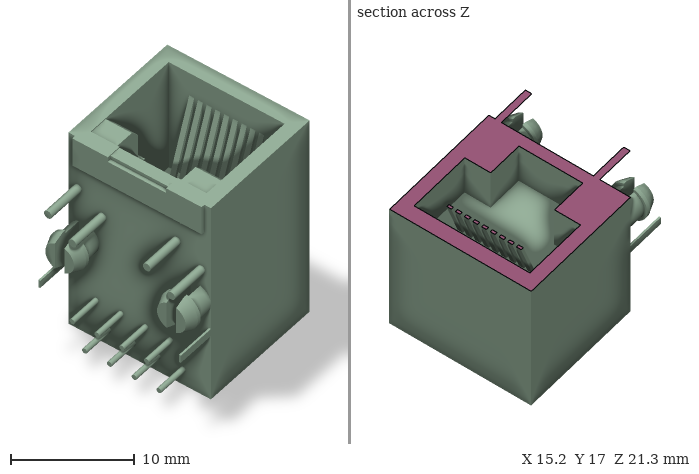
import cadquery as cq


HOUSING_WIDTH = 14.57
HOUSING_DEPTH = 13.05
HOUSING_HEIGHT = 21.3

CAVITY_WIDTH = 11.85
CAVITY_DEPTH = 11.72
FRONT_WALL = 1.2
BACK_WALL = 1.55
CAVITY_BACK = HOUSING_DEPTH - BACK_WALL
CAVITY_FLOOR = HOUSING_HEIGHT - CAVITY_DEPTH

FLANGE_WIDTH = 13.23
FLANGE_HEIGHT = 3.02
FLANGE_THICKNESS = 0.36

NOTCH_WIDTH = 5.96
WALL_NOTCH_DEPTH = 0.1
FLANGE_NOTCH_DEPTH = 0.51

SHOULDER_WIDTH = 2.66
SHOULDER_RECESS = 0.1
SHOULDER_LAND = 1.98
SHOULDER_RAMP = 0.79
SHOULDER_LEDGE = 0.94
LEDGE_DEPTH = 4.25

CONTACT_COUNT = 9
CONTACT_PITCH = 0.9
CONTACT_WIDTH = 0.51
CONTACT_TOP_DEPTH = 2.5
CONTACT_REACH = 3.37
CONTACT_THICKNESS = 0.32

PEG_X = 5.7
PEG_Z = 10.56
PEG_SHAFT_RADIUS = 1.58
PEG_OUTER_SPAN = 15.23
PEG_COLLAR_RADIUS = PEG_OUTER_SPAN / 2 - PEG_X
PEG_TIP_RADIUS = 1.47
PEG_COLLAR_START = 1.79
PEG_COLLAR_END = 2.15
PEG_LENGTH = 3.2
PEG_SLOT = 0.98

SIGNAL_COUNT = 8
SIGNAL_PITCH = 1.267
SIGNAL_DIAMETER = 0.51
SIGNAL_LENGTH = PEG_LENGTH
SIGNAL_ROWS_Z = (4.25, 1.73)

LAMP_DIAMETER = 0.79
LAMP_LENGTH = 3.98
LAMP_OUTER_X = 6.3
LAMP_INNER_X = 3.8
LAMP_UPPER_Z = 15.68
LAMP_LOWER_Z = 13.95

TAB_THICKNESS = 0.2
TAB_HEIGHT = 0.79
TAB_LENGTH = LAMP_LENGTH
TAB_Z = 7.45

OVERLAP = 0.21


def block(width, y_range, z_range, x=0.0):
    """Box centred on x that spans the given y and z ranges."""
    y_start, y_end = y_range
    z_start, z_end = z_range
    return (
        cq.Workplane("XY")
        .box(width, y_end - y_start, z_end - z_start, centered=(True, False, False))
        .translate((x, y_start, z_start))
    )


def side_profile(points, width, x):
    """Prism of the given (y, z) outline, centred on x."""
    return cq.Workplane("YZ").polyline(points).close().extrude(width / 2, both=True).translate((x, 0, 0))


def housing():
    top = HOUSING_HEIGHT
    body = block(HOUSING_WIDTH, (0, HOUSING_DEPTH), (0, top))
    flange = block(FLANGE_WIDTH, (-FLANGE_THICKNESS, OVERLAP), (top - FLANGE_HEIGHT, top))
    cavity = block(CAVITY_WIDTH, (FRONT_WALL, CAVITY_BACK), (CAVITY_FLOOR, top))
    wall_notch = block(NOTCH_WIDTH, (0, FRONT_WALL), (top - WALL_NOTCH_DEPTH, top))
    flange_notch = block(NOTCH_WIDTH, (-FLANGE_THICKNESS, 0), (top - FLANGE_NOTCH_DEPTH, top))
    return body.union(flange).cut(cavity).cut(wall_notch).cut(flange_notch)


def shoulder(side):
    """Cavity corner block: a land, a 45 degree ramp behind it and a lower ledge."""
    land_z = HOUSING_HEIGHT - SHOULDER_RECESS
    ramp_start = FRONT_WALL + SHOULDER_LAND
    ramp_end = ramp_start + SHOULDER_RAMP
    ledge_end = ramp_end + SHOULDER_LEDGE
    ledge_z = HOUSING_HEIGHT - LEDGE_DEPTH
    outline = [
        (FRONT_WALL, CAVITY_FLOOR),
        (FRONT_WALL, land_z),
        (ramp_start, land_z),
        (ramp_end, land_z - SHOULDER_RAMP),
        (ramp_end, ledge_z),
        (ledge_end, ledge_z),
        (ledge_end, CAVITY_FLOOR),
    ]
    return side_profile(outline, SHOULDER_WIDTH, side * (CAVITY_WIDTH - SHOULDER_WIDTH) / 2)


def contact(x):
    """Thin strip leaning from the back wall down to the cavity floor."""
    contact_top = HOUSING_HEIGHT - CONTACT_TOP_DEPTH
    foot = CAVITY_BACK - CONTACT_REACH
    slope = (contact_top - CAVITY_FLOOR) / CONTACT_REACH
    outline = [
        (CAVITY_BACK, contact_top),
        (foot, CAVITY_FLOOR),
        (foot + CONTACT_THICKNESS, CAVITY_FLOOR),
        (CAVITY_BACK, contact_top - slope * CONTACT_THICKNESS),
    ]
    return side_profile(outline, CONTACT_WIDTH, x)


def peg(x):
    """Round peg with a snap collar and a tapered tip, split by a slot along z."""
    outline = [
        (0, OVERLAP),
        (PEG_SHAFT_RADIUS, OVERLAP),
        (PEG_SHAFT_RADIUS, -PEG_COLLAR_START),
        (PEG_COLLAR_RADIUS, -PEG_COLLAR_START),
        (PEG_COLLAR_RADIUS, -PEG_COLLAR_END),
        (PEG_TIP_RADIUS, -PEG_LENGTH),
        (0, -PEG_LENGTH),
    ]
    turned = cq.Workplane("XY").polyline(outline).close().revolve(360, (0, 0, 0), (0, 1, 0))
    slot = block(PEG_SLOT, (-PEG_LENGTH, 0), (-PEG_COLLAR_RADIUS, PEG_COLLAR_RADIUS))
    return turned.cut(slot).translate((x, 0, PEG_Z))


def pin(x, z, diameter, length):
    """Round pin along -y."""
    return (
        cq.Workplane("XZ", origin=(x, OVERLAP, z))
        .circle(diameter / 2)
        .extrude(length + OVERLAP)
    )


def ground_tab(side):
    x = side * (HOUSING_WIDTH - TAB_THICKNESS) / 2
    return block(TAB_THICKNESS, (-TAB_LENGTH, OVERLAP), (TAB_Z - TAB_HEIGHT / 2, TAB_Z + TAB_HEIGHT / 2), x)


result = housing()

for index in range(CONTACT_COUNT):
    result = result.union(contact((index - (CONTACT_COUNT - 1) / 2) * CONTACT_PITCH))

for side in (-1, 1):
    result = result.union(shoulder(side))
    result = result.union(peg(side * PEG_X))
    result = result.union(ground_tab(side))

for index in range(SIGNAL_COUNT):
    pin_x = (index - (SIGNAL_COUNT - 1) / 2) * SIGNAL_PITCH
    pin_z = SIGNAL_ROWS_Z[index % len(SIGNAL_ROWS_Z)]
    result = result.union(pin(pin_x, pin_z, SIGNAL_DIAMETER, SIGNAL_LENGTH))

for pin_x, pin_z in (
    (-LAMP_OUTER_X, LAMP_UPPER_Z),
    (-LAMP_INNER_X, LAMP_LOWER_Z),
    (LAMP_INNER_X, LAMP_UPPER_Z),
    (LAMP_OUTER_X, LAMP_LOWER_Z),
):
    result = result.union(pin(pin_x, pin_z, LAMP_DIAMETER, LAMP_LENGTH))